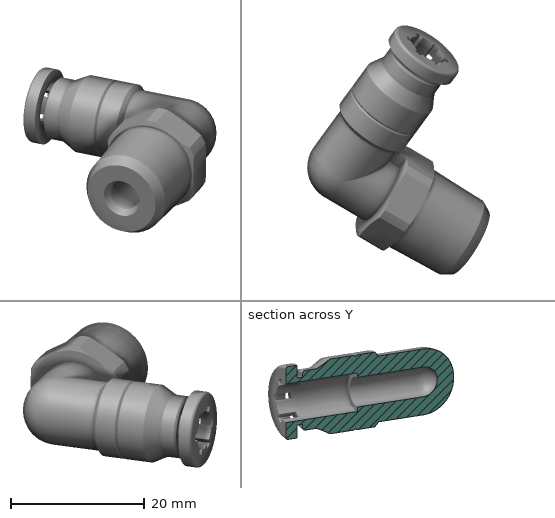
import cadquery as cq
import math


total_length = 30.6
total_depth = 28.9
hex_across_flats = 14.0
hex_corner_diameter = 15.4
body_radius = 11.8 / 2
arm_radius = 5.2
bore_radius = 4.6 / 2

flange_radius = 11.5 / 2
flange_length = 2.02
flange_round = 0.45
neck_radius = 3.73
neck_end = 2.88
collet_bore_radius = 6.0 / 2
collet_bore_depth = 12.25
slot_width = 1.13
slot_count = 6

nose_radius = 9.42 / 2
nose_chamfer = 0.3
nose_end = 5.32
cone_end = 7.62
groove_start = 11.7
groove_width = 0.5
groove_depth = 0.2
body_end = 15.25
shoulder_drop = body_radius - arm_radius

hex_near = 7.07
hex_far = 12.03
hex_chamfer_length = 0.25
hex_chamfer_radius = 7.0
thread_root_radius = 6.73
thread_taper = 1 / 32
thread_chamfer_length = 1.6
thread_chamfer_angle = 30.0
countersink_radius = 2.9
countersink_depth = 1.07

web_width = 2.08
web_fillet = 0.6

mouth_x = hex_across_flats / 2 - total_length
stud_end = total_depth - body_radius


def tube_cylinder(radius, start, end):
    """Cylinder on the tube axis between two distances from the mouth."""
    return cq.Workplane("YZ", origin=(mouth_x + start, 0, 0)).circle(radius).extrude(end - start)


def stud_cylinder(radius, start, end):
    """Cylinder on the stud axis between two distances from the tube axis."""
    return cq.Workplane("XZ", origin=(0, -start, 0)).circle(radius).extrude(end - start)


def make_collet():
    flange = tube_cylinder(flange_radius, 0, flange_length).faces("<X").edges().fillet(flange_round)
    return flange.union(tube_cylinder(neck_radius, 0, nose_end))


def make_body():
    profile = [
        (neck_end, 0),
        (neck_end, nose_radius - nose_chamfer),
        (neck_end + nose_chamfer, nose_radius),
        (nose_end, nose_radius),
        (cone_end, body_radius),
        (groove_start, body_radius),
        (groove_start + groove_width / 2, body_radius - groove_depth),
        (groove_start + groove_width, body_radius),
        (body_end, body_radius),
        (body_end + shoulder_drop, arm_radius),
        (body_end + shoulder_drop, 0),
    ]
    outline = cq.Workplane("XY", origin=(mouth_x, 0, 0)).polyline(profile).close()
    return outline.revolve(360, (0, 0, 0), (1, 0, 0))


def make_elbow(radius, tube_start, stud_length):
    """Two round arms meeting in a ball of the same radius."""
    tube_arm = tube_cylinder(radius, tube_start, -mouth_x)
    stud_arm = stud_cylinder(radius, 0, stud_length)
    ball = cq.Workplane("XY").sphere(radius)
    return tube_arm.union(stud_arm).union(ball)


def make_hexagon():
    """Hexagon with flats facing X, its corners turned down and chamfered at both ends."""
    corner_diameter = hex_across_flats / math.cos(math.pi / 6)
    prism = (
        cq.Workplane("XZ", origin=(0, -hex_near, 0))
        .transformed(rotate=(0, 0, 30))
        .polygon(6, corner_diameter)
        .extrude(hex_far - hex_near)
    )
    corner_radius = hex_corner_diameter / 2
    turned_profile = [
        (0, -hex_near),
        (hex_chamfer_radius, -hex_near),
        (corner_radius, -hex_near - hex_chamfer_length),
        (corner_radius, -hex_far + hex_chamfer_length),
        (hex_chamfer_radius, -hex_far),
        (0, -hex_far),
    ]
    turned = cq.Workplane("XY").polyline(turned_profile).close().revolve(360, (0, 0, 0), (0, 1, 0))
    return prism.intersect(turned)


def make_thread():
    """Plain taper standing for the pipe thread, with a lead-in chamfer."""
    taper_end = stud_end - thread_chamfer_length
    tip_radius = thread_root_radius - (taper_end - hex_far) * thread_taper
    end_radius = tip_radius - thread_chamfer_length * math.tan(math.radians(thread_chamfer_angle))
    profile = [
        (0, -hex_far),
        (thread_root_radius, -hex_far),
        (tip_radius, -taper_end),
        (end_radius, -stud_end),
        (0, -stud_end),
    ]
    return cq.Workplane("XY").polyline(profile).close().revolve(360, (0, 0, 0), (0, 1, 0))


def make_web():
    """Flat web in the inner corner, flaring into the underside of the arm."""
    web_x = -hex_across_flats / 2
    half_root = math.sqrt(0.5)
    return (
        cq.Workplane("XY", origin=(0, 0, -web_width / 2))
        .moveTo(0, 0)
        .lineTo(web_x - web_fillet, 0)
        .lineTo(web_x - web_fillet, -arm_radius)
        .threePointArc(
            (web_x - web_fillet * (1 - half_root), -arm_radius - web_fillet * (1 - half_root)),
            (web_x, -arm_radius - web_fillet),
        )
        .lineTo(web_x, -hex_near)
        .lineTo(0, -hex_near)
        .close()
        .extrude(web_width)
    )


def make_slots():
    """Radial slots through the collet wall, closed by the neck's outer radius."""
    slots = cq.Workplane("YZ", origin=(mouth_x, 0, 0))
    slots = slots.polarArray(neck_radius / 2, 0, 360, slot_count).rect(neck_radius * 2, slot_width)
    envelope = tube_cylinder(neck_radius, 0, neck_end)
    hub = tube_cylinder(collet_bore_radius, 0, neck_end)
    return slots.extrude(neck_end).intersect(envelope).union(hub)


def make_countersink():
    """Conical mouth narrowing into the stud bore."""
    profile = [
        (0, -stud_end),
        (countersink_radius, -stud_end),
        (bore_radius, -stud_end + countersink_depth),
        (0, -stud_end + countersink_depth),
    ]
    return cq.Workplane("XY").polyline(profile).close().revolve(360, (0, 0, 0), (0, 1, 0))


outside = (
    make_elbow(arm_radius, body_end, hex_near)
    .union(make_body())
    .union(make_collet())
    .union(make_web())
    .union(make_hexagon())
    .union(make_thread())
)

result = (
    outside.cut(make_elbow(bore_radius, 0, stud_end))
    .cut(tube_cylinder(collet_bore_radius, 0, collet_bore_depth))
    .cut(make_slots())
    .cut(make_countersink())
)